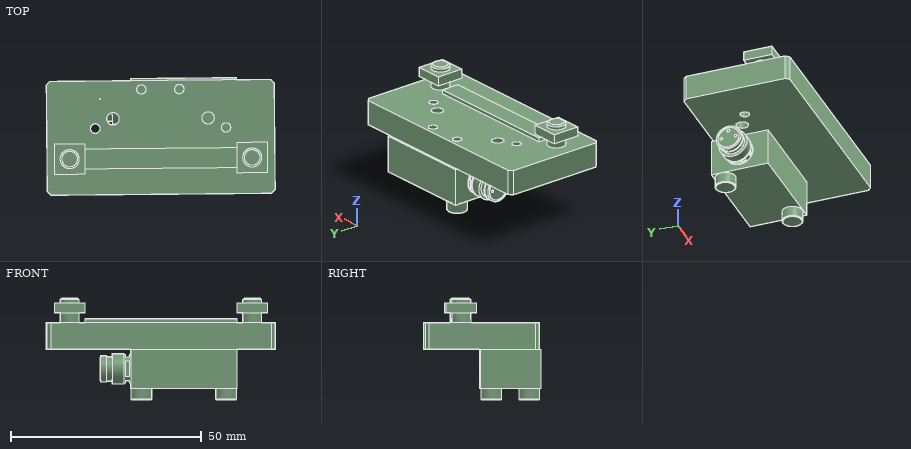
import cadquery as cq

TURN_ANGLE = 0.52

PLATE_LENGTH = 60.0
PLATE_WIDTH = 30.0
PLATE_THICKNESS = 7.0
PLATE_CORNER_CHAMFER = 1.0

POST_DIAMETER = 5.0
POST_HEIGHT = 6.5
POST_CHAMFER = 0.45
POST_SPACING = 48.0
POST_ROW_Y = -5.5
NUT_SIZE = 8.0
NUT_THICKNESS = 2.6
NUT_CLEARANCE = 2.6
STRIP_LENGTH = POST_SPACING - NUT_SIZE
STRIP_WIDTH = 5.25
STRIP_THICKNESS = 1.1

BLOCK_LENGTH = 27.9
BLOCK_WIDTH = 16.0
BLOCK_HEIGHT = 10.3
BLOCK_X = 6.15
BLOCK_Y = 7.55
BLOCK_LEFT = BLOCK_X - BLOCK_LENGTH / 2

SCREW_POINTS = [(-5.0, 12.65), (17.2, 2.45)]
SCREW_HEAD_DIAMETER = 5.5
SCREW_HEAD_HEIGHT = 3.0
SCREW_HEAD_CHAMFER = 0.2
SCREW_TIP_DEPTH = 1.25

SMALL_HOLE_DIAMETER = 2.46
LARGE_HOLE_DIAMETER = 3.24
OPEN_SMALL_HOLE_POINTS = [(-x, y) for x, y in SCREW_POINTS]
LARGE_HOLE_POINTS = [(-12.5, 5.0), (12.5, 5.0)]

CONNECTOR_Y = BLOCK_Y
CONNECTOR_Z = -BLOCK_HEIGHT / 2
CONNECTOR_SECTIONS = [
    (7.5, 1.8),
    (8.0, 3.1),
    (6.5, 1.5),
    (7.0, 1.55),
    (6.0, 0.15),
]
CONNECTOR_LENGTH = sum(length for _, length in CONNECTOR_SECTIONS)
FLATS_ACROSS = 6.3
FLATS_LENGTH = 1.0
FLATS_OFFSET = 0.4
CONTACT_DIAMETER = 0.7
CONTACT_RADIUS = 2.0
CONTACT_DEPTH = 3.0
CONTACT_POINT_LENGTH = 0.2


def box_on(x, y, z, length, width, height):
    """Box centred on (x, y) with its underside at z."""
    box = cq.Workplane("XY").box(length, width, height, centered=(True, True, False))
    return box.translate((x, y, z))


def make_plate():
    plate = box_on(0, 0, 0, PLATE_LENGTH, PLATE_WIDTH, PLATE_THICKNESS)
    return plate.edges("|Z").chamfer(PLATE_CORNER_CHAMFER)


def cut_plate_holes(plate):
    top = cq.Workplane("XY").workplane(offset=PLATE_THICKNESS)
    hole_groups = [
        (SCREW_POINTS, SMALL_HOLE_DIAMETER, SCREW_TIP_DEPTH),
        (OPEN_SMALL_HOLE_POINTS, SMALL_HOLE_DIAMETER, PLATE_THICKNESS),
        (LARGE_HOLE_POINTS, LARGE_HOLE_DIAMETER, PLATE_THICKNESS),
    ]
    for points, diameter, depth in hole_groups:
        plate = plate.cut(top.pushPoints(points).circle(diameter / 2).extrude(-depth))
    return plate


def make_post(x):
    """Chamfered post carrying a square nut above the plate."""
    post = cq.Workplane("XY", origin=(x, POST_ROW_Y, PLATE_THICKNESS))
    post = post.circle(POST_DIAMETER / 2).extrude(POST_HEIGHT)
    post = post.faces(">Z").chamfer(POST_CHAMFER)
    nut_z = PLATE_THICKNESS + NUT_CLEARANCE
    return post.union(box_on(x, POST_ROW_Y, nut_z, NUT_SIZE, NUT_SIZE, NUT_THICKNESS))


def make_strip():
    return box_on(0, POST_ROW_Y, PLATE_THICKNESS, STRIP_LENGTH, STRIP_WIDTH, STRIP_THICKNESS)


def make_block():
    return box_on(BLOCK_X, BLOCK_Y, -BLOCK_HEIGHT, BLOCK_LENGTH, BLOCK_WIDTH, BLOCK_HEIGHT)


def make_screw_heads():
    heads = cq.Workplane("XY", origin=(0, 0, -BLOCK_HEIGHT)).pushPoints(SCREW_POINTS)
    heads = heads.circle(SCREW_HEAD_DIAMETER / 2).extrude(-SCREW_HEAD_HEIGHT)
    return heads.faces("<Z").chamfer(SCREW_HEAD_CHAMFER)


def connector_plane(distance):
    """YZ workplane on the connector axis, a distance out from the block face."""
    return cq.Workplane("YZ", origin=(BLOCK_LEFT - distance, CONNECTOR_Y, CONNECTOR_Z))


def make_connector_body():
    connector = cq.Workplane("YZ")
    distance = 0.0
    for diameter, length in CONNECTOR_SECTIONS:
        connector = connector.union(connector_plane(distance).circle(diameter / 2).extrude(-length))
        distance += length
    return connector


def make_flats_cutter():
    """Material outside a square prism, leaving four wrench flats on the body."""
    body_diameter = CONNECTOR_SECTIONS[0][0]
    plane = connector_plane(FLATS_OFFSET)
    ring = plane.circle(body_diameter / 2).extrude(-FLATS_LENGTH)
    return ring.cut(plane.rect(FLATS_ACROSS, FLATS_ACROSS).extrude(-FLATS_LENGTH))


def make_contact_hole(y, z):
    """Contact hole with a conical bottom, offset (y, z) from the connector axis."""
    radius = CONTACT_DIAMETER / 2
    mouth = cq.Vector(BLOCK_LEFT - CONNECTOR_LENGTH, CONNECTOR_Y + y, CONNECTOR_Z + z)
    inward = cq.Vector(1, 0, 0)
    drill = cq.Solid.makeCylinder(radius, CONTACT_DEPTH, mouth, inward)
    bottom = mouth + inward * CONTACT_DEPTH
    point = cq.Solid.makeCone(radius, 0, CONTACT_POINT_LENGTH, bottom, inward)
    return cq.Workplane(drill).union(cq.Workplane(point))


def make_connector():
    connector = make_connector_body().cut(make_flats_cutter())
    for y, z in [(-CONTACT_RADIUS, 0), (0, CONTACT_RADIUS), (CONTACT_RADIUS, 0)]:
        connector = connector.cut(make_contact_hole(y, z))
    return connector


part = cut_plate_holes(make_plate())
for post_x in (-POST_SPACING / 2, POST_SPACING / 2):
    part = part.union(make_post(post_x))
part = part.union(make_strip())
part = part.union(make_block())
part = part.union(make_screw_heads())
part = part.union(make_connector())

result = part.rotate((0, 0, 0), (0, 0, 1), TURN_ANGLE)